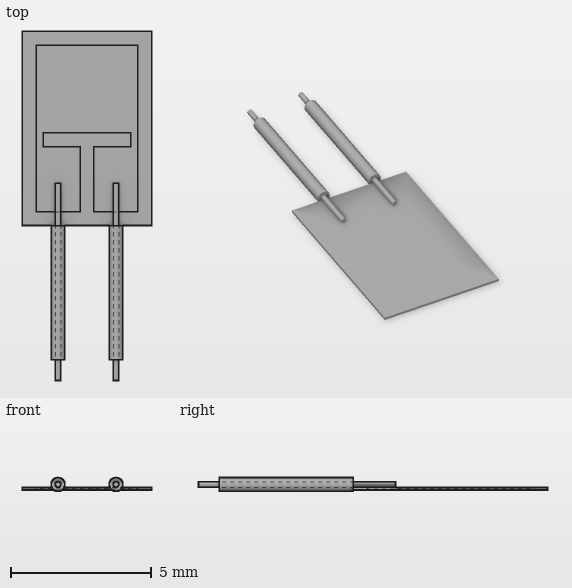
import cadquery as cq

film_width = 4.6
film_length = 6.9
film_thickness = 0.1

foil_margin = 0.5
foil_depth = film_thickness / 2
foil_width = film_width - 2 * foil_margin
foil_length = film_length - 2 * foil_margin

gap_width = 0.5
gap_bar_length = 3.1
gap_height = 2.8

lead_spacing = 2.06
wire_diameter = 0.2
wire_overlap = 1.5
overall_length = 12.4
wire_front = film_length - overall_length
bare_end_length = 0.75
sleeve_diameter = 0.5
sleeve_length = -wire_front - bare_end_length
lead_axis_z = wire_diameter / 2


def plate(width, length, thickness, front):
    """Flat plate with its top face at Z = 0 and its front edge at Y = front."""
    return (
        cq.Workplane("XY", origin=(0, front, -thickness))
        .box(width, length, thickness, centered=(True, False, False))
    )


def rod(x, diameter, back, length):
    """Cylinder along Y that starts at Y = back and runs toward -Y."""
    return (
        cq.Workplane("XZ", origin=(x, back, lead_axis_z))
        .circle(diameter / 2)
        .extrude(length)
    )


def make_foil():
    stem = plate(gap_width, gap_height, foil_depth, foil_margin)
    bar_front = foil_margin + gap_height - gap_width
    bar = plate(gap_bar_length, gap_width, foil_depth, bar_front)
    blank = plate(foil_width, foil_length, foil_depth, foil_margin)
    return blank.cut(stem).cut(bar)


def make_film(foil):
    return plate(film_width, film_length, film_thickness, 0).cut(foil)


def make_wire(x):
    return rod(x, wire_diameter, wire_overlap, wire_overlap - wire_front)


def make_sleeve(x):
    sleeve = rod(x, sleeve_diameter, 0, sleeve_length)
    return sleeve.cut(rod(x, wire_diameter, 0, sleeve_length))


foil = make_foil()
film = make_film(foil)

leads = []
for x in (-lead_spacing / 2, lead_spacing / 2):
    leads.append(make_wire(x).val())
    leads.append(make_sleeve(x).val())

result = cq.Compound.makeCompound([film.val(), foil.val(), *leads])